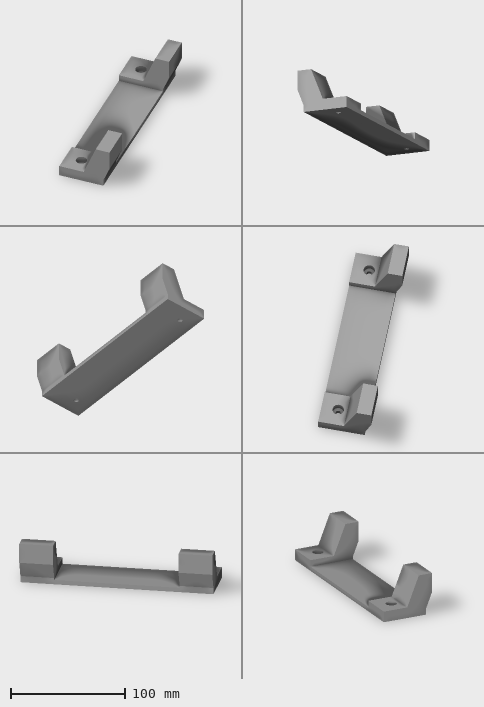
import cadquery as cq

length = 171.8
width = 47.5
height = 38.0

plate_width = 41.5
plate_thickness = 4.0

bracket_length = 30.0
foot_height = 10.0
slope_start_x = 23.0
slope_end_x = 34.4
back_step_z = 5.8
back_overhang_z = 20.3

hole_x = 15.0
hole_diameter = 4.5
bore_diameter = 10.0
bore_depth = 6.0


def make_bracket(y_start):
    """Leaning upright on a flat foot, with a counterbored screw hole."""
    body = (
        cq.Workplane("XZ", origin=(0, y_start, 0))
        .moveTo(0, 0)
        .lineTo(plate_width, 0)
        .lineTo(plate_width, back_step_z)
        .lineTo(width, back_overhang_z)
        .lineTo(width, height)
        .lineTo(slope_end_x, height)
        .lineTo(slope_start_x, foot_height)
        .lineTo(0, foot_height)
        .close()
        .extrude(-bracket_length)
    )
    hole_top = cq.Workplane("XY", origin=(hole_x, y_start + bracket_length / 2, foot_height))
    through_hole = hole_top.circle(hole_diameter / 2).extrude(-foot_height)
    counterbore = hole_top.circle(bore_diameter / 2).extrude(-bore_depth)
    return body.cut(through_hole).cut(counterbore)


gap = length - 2 * bracket_length
result = cq.Workplane("XY", origin=(0, bracket_length, 0)).box(
    plate_width, gap, plate_thickness, centered=False
)
for y_start in (0, length - bracket_length):
    result = result.union(make_bracket(y_start))